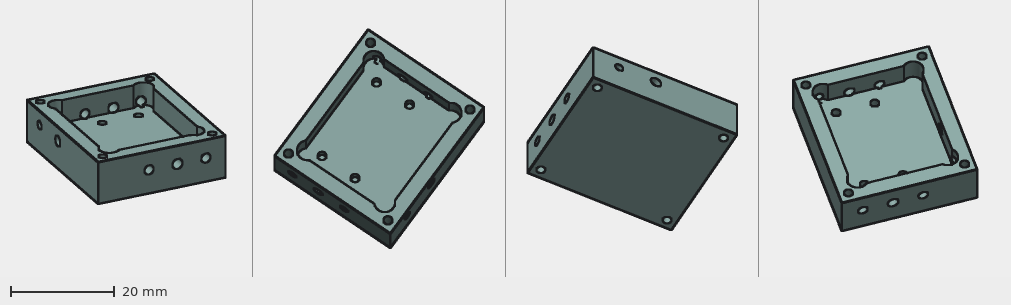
import cadquery as cq

length = 31.4
width = 27.4
height = 9.0
edge_chamfer = 0.1

cavity_length = 25.0
cavity_width = 21.0
floor_z = 4.18
relief_radius = 2.0
relief_x = 11.08
relief_y = 9.1

small_hole_diameter = 1.7
rim_hole_inset = 1.98

floor_hole_x = 9.1
floor_hole_rows = (7.05, -0.72)
floor_hole_depth = 2.0

end_hole_z = 5.1
end_hole_middle_y = 3.33
end_hole_pitch = 6.1
end_outer_diameter = 1.95
end_outer_depth = 3.5
left_middle_diameter = 2.17
left_middle_depth = (length - cavity_length) / 2
right_middle_diameter = 2.15
right_middle_depth = 3.33

front_hole_z = 6.0
front_small_x = -10.02
front_large_x = -2.0
front_large_diameter = 2.2
front_hole_depth = (width - cavity_width) / 2


def mirrored_points(x, y):
    """Four points mirrored about the X and Y axes."""
    return [(sx * x, sy * y) for sx in (-1, 1) for sy in (-1, 1)]


def make_cavity():
    depth = height - floor_z
    floor = cq.Workplane("XY").workplane(offset=floor_z)
    pocket = floor.rect(cavity_length, cavity_width).extrude(depth)
    reliefs = floor.pushPoints(mirrored_points(relief_x, relief_y)).circle(relief_radius).extrude(depth)
    return pocket.union(reliefs)


def drill(start, direction, diameter, depth):
    """Flat-ended cylinder running from start along direction."""
    return cq.Workplane(cq.Solid.makeCylinder(diameter / 2, depth, cq.Vector(*start), cq.Vector(*direction)))


block = cq.Workplane("XY").box(length, width, height, centered=(True, True, False))
block = block.edges().chamfer(edge_chamfer)
result = block.cut(make_cavity())

for x, y in mirrored_points(length / 2 - rim_hole_inset, width / 2 - rim_hole_inset):
    result = result.cut(drill((x, y, 0), (0, 0, 1), small_hole_diameter, height))

for x in (-floor_hole_x, floor_hole_x):
    for y in floor_hole_rows:
        result = result.cut(drill((x, y, floor_z), (0, 0, -1), small_hole_diameter, floor_hole_depth))

for side, middle_diameter, middle_depth in (
    (-1, left_middle_diameter, left_middle_depth),
    (1, right_middle_diameter, right_middle_depth),
):
    for step in (-1, 0, 1):
        start = (side * length / 2, end_hole_middle_y + step * end_hole_pitch, end_hole_z)
        diameter = end_outer_diameter if step else middle_diameter
        depth = end_outer_depth if step else middle_depth
        result = result.cut(drill(start, (-side, 0, 0), diameter, depth))

for x, diameter in ((front_small_x, small_hole_diameter), (front_large_x, front_large_diameter)):
    result = result.cut(drill((x, -width / 2, front_hole_z), (0, 1, 0), diameter, front_hole_depth))